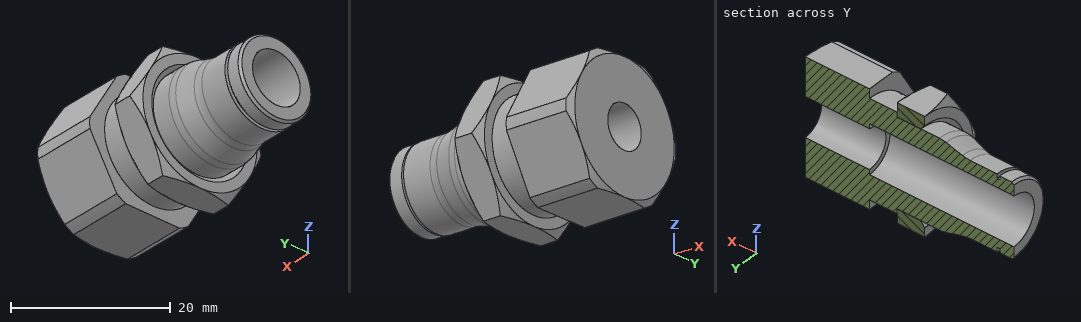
import cadquery as cq
import math

across_flats = 19.0
flat_radius = across_flats / 2
chamfer_angle = 30.0

fitting_length = 34.0
groove_start = 2.3
groove_end = 2.72
flare_start = 7.1
cone_start = 8.35
cone_end = 11.0
flare_end = 12.1
nut_start = 14.52
nut_end = 19.0
head_start = 23.5

tip_radius = 6.1
tip_chamfer = 0.35
groove_radius = 5.47
stem_radius = 6.2
neck_radius = 7.28
collar_radius = 8.02
head_corner_radius = 10.5
countersink_depth = 0.58
flare_angle = 16.0

wide_bore_radius = 3.98
narrow_bore_radius = 3.2
wide_bore_depth = head_start


def hex_prism(start, end):
    """Hexagonal bar along X with corners pointing along +Y and -Y."""
    across_corners = across_flats / math.cos(math.radians(30))
    return cq.Workplane("YZ", origin=(start, 0, 0)).polygon(6, across_corners).extrude(end - start)


def turned(points):
    """Solid of revolution about X from a closed outline of (x, radius) points."""
    return cq.Workplane("XY").polyline(points).close().revolve(360, (0, 0, 0), (1, 0, 0))


def chamfer_depth(corner_radius):
    """Axial depth of a chamfer running from the flats out to the corner radius."""
    return (corner_radius - flat_radius) * math.tan(math.radians(chamfer_angle))


def make_stem():
    """Turned part of the body: grooved tip, stem, flared neck and collar."""
    arc_slope = math.tan(math.radians(flare_angle / 2))
    cone_start_radius = stem_radius + (cone_start - flare_start) * arc_slope
    cone_end_radius = neck_radius - (flare_end - cone_end) * arc_slope
    return (
        cq.Workplane("XY")
        .lineTo(0, tip_radius - tip_chamfer)
        .lineTo(tip_chamfer, tip_radius)
        .lineTo(groove_start, tip_radius)
        .lineTo(groove_start, groove_radius)
        .lineTo(groove_end, groove_radius)
        .lineTo(groove_end, stem_radius)
        .lineTo(flare_start, stem_radius)
        .tangentArcPoint((cone_start, cone_start_radius), relative=False)
        .lineTo(cone_end, cone_end_radius)
        .tangentArcPoint((flare_end, neck_radius), relative=False)
        .lineTo(nut_end, neck_radius)
        .lineTo(nut_end, collar_radius)
        .lineTo(head_start, collar_radius)
        .lineTo(head_start, 0)
        .close()
        .revolve(360, (0, 0, 0), (1, 0, 0))
    )


def make_head():
    """Hex head with turned-down corners and a chamfer on its outer end."""
    envelope = turned([
        (head_start, 0),
        (head_start, head_corner_radius),
        (fitting_length - chamfer_depth(head_corner_radius), head_corner_radius),
        (fitting_length, flat_radius),
        (fitting_length, 0),
    ])
    return hex_prism(head_start, fitting_length).intersect(envelope)


def make_bore():
    """Stepped through passage of the body."""
    return turned([
        (0, 0),
        (0, wide_bore_radius),
        (wide_bore_depth, wide_bore_radius),
        (wide_bore_depth, narrow_bore_radius),
        (fitting_length, narrow_bore_radius),
        (fitting_length, 0),
    ])


def make_fitting_body():
    return make_stem().union(make_head()).cut(make_bore())


def make_locknut():
    """Nut chamfered at both ends, countersunk in front, seated against the collar."""
    corner_radius = flat_radius / math.cos(math.radians(30))
    depth = chamfer_depth(corner_radius)
    envelope = turned([
        (nut_start, 0),
        (nut_start, flat_radius),
        (nut_start + depth, corner_radius),
        (nut_end - depth, corner_radius),
        (nut_end, flat_radius),
        (nut_end, 0),
    ])
    opening = turned([
        (nut_start, 0),
        (nut_start, collar_radius),
        (nut_start + countersink_depth, neck_radius),
        (nut_end, neck_radius),
        (nut_end, 0),
    ])
    return hex_prism(nut_start, nut_end).intersect(envelope).cut(opening)


fitting_body = make_fitting_body()
locknut = make_locknut()

result = cq.Compound.makeCompound([fitting_body.val(), locknut.val()])